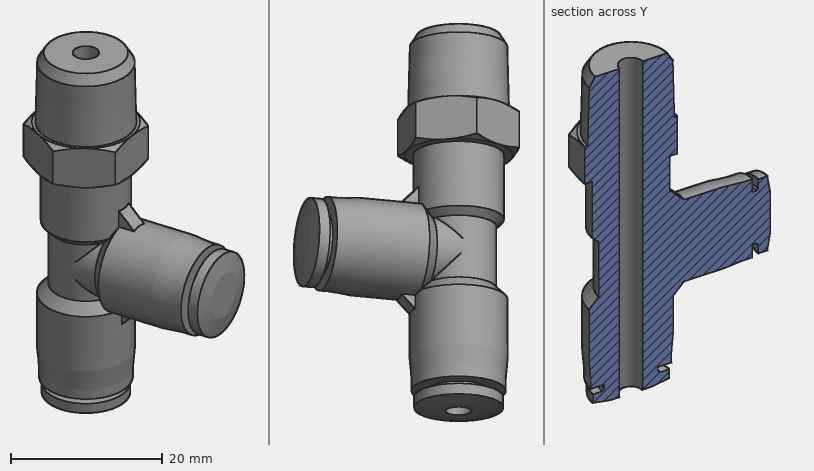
import cadquery as cq
import math


neck_radius = 10.0 / 2
bore_diameter = 3.5

port_radius = 13.0 / 2
port_end_radius = 12.5 / 2
port_shoulder_end = 6.0
port_shoulder_start = port_shoulder_end - (port_radius - neck_radius)
port_taper_start = 14.25
port_taper_end = 17.2
port_end = 18.65

collar_neck_radius = 8.35 / 2
collar_radius = 11.8 / 2
collar_flare_start = 19.25
collar_flare_radius = 4.45
collar_start = 19.55
collar_rim = 21.0
collar_end = 21.5
collar_face_radius = 6.35 / 2

overall_length = 52.0
top = overall_length - collar_end
stem_radius = 12.0 / 2
stem_shoulder_start = 4.1
stem_shoulder_end = stem_shoulder_start + (stem_radius - neck_radius)
thread_length = 10.5
thread_root_radius = 13.4 / 2
thread_tip_radius = 12.95 / 2
thread_chamfer_length = 1.45
thread_face_radius = 5.55

hex_flats = 14.3
hex_corners = hex_flats / math.cos(math.pi / 6)
hex_height = 6.0
hex_corner_drop = 0.5
hex_top = top - thread_length
hex_bottom = hex_top - hex_height

gusset_width = 2.5
gusset_reach = 14.65


def revolve_about_z(outline):
    return outline.close().revolve(360, (0, 0, 0), (0, 1, 0))


def make_port():
    """Solid port along +Z, from the crossing point to the collar face."""
    outline = (
        cq.Workplane("XZ")
        .lineTo(neck_radius, 0)
        .lineTo(neck_radius, port_shoulder_start)
        .lineTo(port_radius, port_shoulder_end)
        .lineTo(port_radius, port_taper_start)
        .lineTo(port_end_radius, port_taper_end)
        .lineTo(port_end_radius, port_end)
        .lineTo(collar_neck_radius, port_end)
        .lineTo(collar_neck_radius, collar_flare_start)
        .lineTo(collar_flare_radius, collar_start)
        .lineTo(collar_radius, collar_start)
        .lineTo(collar_radius, collar_rim)
        .lineTo(collar_face_radius, collar_end)
        .lineTo(0, collar_end)
    )
    return revolve_about_z(outline)


def make_stem():
    """Upper run: neck, plain stem and tapered thread envelope."""
    outline = (
        cq.Workplane("XZ")
        .lineTo(neck_radius, 0)
        .lineTo(neck_radius, stem_shoulder_start)
        .lineTo(stem_radius, stem_shoulder_end)
        .lineTo(stem_radius, hex_top)
        .lineTo(thread_root_radius, hex_top)
        .lineTo(thread_tip_radius, top - thread_chamfer_length)
        .lineTo(thread_face_radius, top)
        .lineTo(0, top)
    )
    return revolve_about_z(outline)


def make_hexagon():
    """Hexagon with its corners on Y, trimmed by a cone at each end."""
    prism = (
        cq.Workplane("XY", origin=(0, 0, hex_bottom))
        .polygon(6, hex_corners)
        .extrude(hex_height)
        .rotate((0, 0, 0), (0, 0, 1), 30)
    )
    flat_radius = hex_flats / 2
    corner_radius = hex_corners / 2
    trim = (
        cq.Workplane("XZ")
        .moveTo(0, hex_bottom)
        .lineTo(flat_radius, hex_bottom)
        .lineTo(corner_radius, hex_bottom + hex_corner_drop)
        .lineTo(corner_radius, hex_top - hex_corner_drop)
        .lineTo(flat_radius, hex_top)
        .lineTo(0, hex_top)
    )
    return prism.intersect(revolve_about_z(trim))


def make_gussets():
    """Upper and lower gussets as one triangular plate centred on Y."""
    return (
        cq.Workplane("XZ")
        .moveTo(0, -gusset_reach)
        .lineTo(gusset_reach, 0)
        .lineTo(0, gusset_reach)
        .close()
        .extrude(gusset_width / 2, both=True)
    )


port = make_port()
lower_port = port.rotate((0, 0, 0), (1, 0, 0), 180)
branch_port = port.rotate((0, 0, 0), (0, 1, 0), 90)
run_bore = (
    cq.Workplane("XY", origin=(0, 0, -collar_end))
    .circle(bore_diameter / 2)
    .extrude(overall_length)
)

result = (
    make_stem()
    .union(lower_port)
    .union(branch_port)
    .union(make_hexagon())
    .union(make_gussets())
    .cut(run_bore)
)